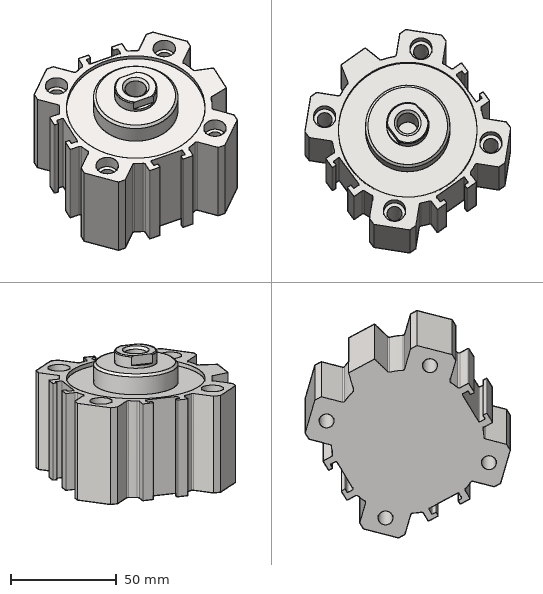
import cadquery as cq
import math


HOUSING_HEIGHT = 48.0
COLLAR_TOP = 55.95
ROD_TOP = 62.0
ROD_BOTTOM = 10.0

HALF_WIDTH = 40.0
LUG_TIP_HALF = 1.8
LUG_TIP_CENTER = 26.0
LUG_ANGLES = (0, 90, 180, 270)
BARREL_RADIUS = 36.1
WEB_FILLET = 1.0

RIB_TOP = 44.0
RIB_HALF_TOP = 7.05
RIB_HALF_FOOT = 9.4
RIB_FOOT = 34.9

RAIL_REACH = 39.65
RAIL_HALF_WIDTH = 11.4
SLOT_FLOOR = 34.2
SLOT_HALF_WIDTH = 8.15
LIP_THICKNESS = 2.2
LIP_HALF_GAP = 6.0
RAIL_FILLET = 0.3
RAIL_ANGLES = (0, 180, 270)

BOLT_OFFSET = 28.1
BOLT_DIAMETER = 7.0
COUNTERBORE_DIAMETER = 10.5
COUNTERBORE_DEPTH = 6.5

RECESS_DIAMETER = 65.5
RECESS_DEPTH = 2.0
COLLAR_DIAMETER = 40.0
COLLAR_CHAMFER = 1.2

ROD_DIAMETER = 20.0
ROD_CHAMFER = 0.5
FLAT_HALF_WIDTH = 8.5
FLAT_BOTTOM = 57.4
ROD_HOLE_DIAMETER = 10.1
ROD_HOLE_MOUTH_DIAMETER = 12.6
ROD_HOLE_DEPTH = 20.0
COUNTERSINK_ANGLE = 90

TOLERANCE = 0.01


def make_lug(angle):
    """Corner lug in the +X +Y corner, turned about Z: a 45-degree arm with flat tips."""
    tip_inner = LUG_TIP_CENTER - LUG_TIP_HALF
    tip_outer = LUG_TIP_CENTER + LUG_TIP_HALF
    flank_start = HALF_WIDTH - tip_inner
    return (
        cq.Workplane("XY")
        .moveTo(0, 0)
        .lineTo(flank_start, 0)
        .lineTo(HALF_WIDTH, tip_inner)
        .lineTo(HALF_WIDTH, tip_outer)
        .lineTo(tip_outer, HALF_WIDTH)
        .lineTo(tip_inner, HALF_WIDTH)
        .lineTo(0, flank_start)
        .close()
        .extrude(HOUSING_HEIGHT)
        .rotate((0, 0, 0), (0, 0, 1), angle)
    )


def make_rail_block(angle):
    """Block on the +X side, turned about Z, that later receives a T-slot."""
    return (
        cq.Workplane("XY")
        .rect(RAIL_REACH, 2 * RAIL_HALF_WIDTH)
        .extrude(HOUSING_HEIGHT)
        .translate((RAIL_REACH / 2, 0, 0))
        .rotate((0, 0, 0), (0, 0, 1), angle)
    )


def make_t_slot(angle):
    """Cutter for the T-slot of one rail: a wide chamber behind a narrower gap."""
    lip_inner = RAIL_REACH - LIP_THICKNESS
    chamber = (
        cq.Workplane("XY")
        .rect(lip_inner - SLOT_FLOOR, 2 * SLOT_HALF_WIDTH)
        .extrude(HOUSING_HEIGHT)
        .translate(((lip_inner + SLOT_FLOOR) / 2, 0, 0))
    )
    gap = (
        cq.Workplane("XY")
        .rect(RAIL_REACH - SLOT_FLOOR, 2 * LIP_HALF_GAP)
        .extrude(HOUSING_HEIGHT)
        .translate(((RAIL_REACH + SLOT_FLOOR) / 2, 0, 0))
    )
    return chamber.union(gap).rotate((0, 0, 0), (0, 0, 1), angle)


def make_rib():
    """Solid tapered rib on the +Y side; its sides run on inward with the same slope."""
    flare = (RIB_HALF_FOOT - RIB_HALF_TOP) / (RIB_TOP - RIB_FOOT)
    half_at_axis = RIB_HALF_TOP + flare * RIB_TOP
    return (
        cq.Workplane("XY")
        .polyline([
            (-half_at_axis, 0),
            (half_at_axis, 0),
            (RIB_HALF_TOP, RIB_TOP),
            (-RIB_HALF_TOP, RIB_TOP),
        ])
        .close()
        .extrude(HOUSING_HEIGHT)
    )


def is_web_corner(edge):
    """True for a vertical edge on the barrel surface, where a lug, rail or rib meets it."""
    center = edge.Center()
    return math.isclose(math.hypot(center.x, center.y), BARREL_RADIUS, abs_tol=TOLERANCE)


def is_rail_corner(edge):
    """True for a vertical edge of a T-slot rail, inside the slot or on its outer corners."""
    center = edge.Center()
    for angle in RAIL_ANGLES:
        turn = math.radians(angle)
        reach = center.x * math.cos(turn) + center.y * math.sin(turn)
        side = abs(center.y * math.cos(turn) - center.x * math.sin(turn))
        in_reach = SLOT_FLOOR - TOLERANCE < reach < RAIL_REACH + TOLERANCE
        on_flank_fillet = side > SLOT_HALF_WIDTH + TOLERANCE and reach < RAIL_REACH - TOLERANCE
        if in_reach and side < RAIL_HALF_WIDTH + TOLERANCE and not on_flank_fillet:
            return True
    return False


def make_housing():
    """Profiled barrel with lugs, rib, T-slots, bolt holes, recess, collar and rod bore."""
    body = cq.Workplane("XY").circle(BARREL_RADIUS).extrude(HOUSING_HEIGHT)
    for angle in LUG_ANGLES:
        body = body.union(make_lug(angle))
    for angle in RAIL_ANGLES:
        body = body.union(make_rail_block(angle))
    body = body.union(make_rib())
    body = body.edges("|Z").filter(is_web_corner).fillet(WEB_FILLET)

    for angle in RAIL_ANGLES:
        body = body.cut(make_t_slot(angle))
    body = body.edges("|Z").filter(is_rail_corner).fillet(RAIL_FILLET)

    body = (
        body.faces(">Z")
        .workplane(origin=(0, 0, HOUSING_HEIGHT))
        .rect(2 * BOLT_OFFSET, 2 * BOLT_OFFSET, forConstruction=True)
        .vertices()
        .cboreHole(BOLT_DIAMETER, COUNTERBORE_DIAMETER, COUNTERBORE_DEPTH)
    )

    recess_floor = HOUSING_HEIGHT - RECESS_DEPTH
    recess = (
        cq.Workplane("XY", origin=(0, 0, recess_floor))
        .circle(RECESS_DIAMETER / 2)
        .extrude(RECESS_DEPTH)
    )
    collar = (
        cq.Workplane("XY", origin=(0, 0, recess_floor))
        .circle(COLLAR_DIAMETER / 2)
        .extrude(COLLAR_TOP - recess_floor)
        .faces(">Z")
        .chamfer(COLLAR_CHAMFER)
    )
    rod_bore = (
        cq.Workplane("XY", origin=(0, 0, ROD_BOTTOM))
        .circle(ROD_DIAMETER / 2)
        .extrude(COLLAR_TOP - ROD_BOTTOM)
    )
    return body.cut(recess).union(collar).cut(rod_bore)


def make_rod():
    """Round rod with two wrench flats and a blind hole with a countersunk mouth."""
    rod = (
        cq.Workplane("XY", origin=(0, 0, ROD_BOTTOM))
        .circle(ROD_DIAMETER / 2)
        .extrude(ROD_TOP - ROD_BOTTOM)
        .faces(">Z")
        .chamfer(ROD_CHAMFER)
    )
    flat_height = ROD_TOP - FLAT_BOTTOM
    for side in (-1, 1):
        flat = (
            cq.Workplane("XY", origin=(side * (FLAT_HALF_WIDTH + ROD_DIAMETER / 2), 0, FLAT_BOTTOM))
            .rect(ROD_DIAMETER, ROD_DIAMETER)
            .extrude(flat_height)
        )
        rod = rod.cut(flat)

    return (
        rod.faces(">Z")
        .workplane(origin=(0, 0, ROD_TOP))
        .cskHole(ROD_HOLE_DIAMETER, ROD_HOLE_MOUTH_DIAMETER, COUNTERSINK_ANGLE, depth=ROD_HOLE_DEPTH)
    )


housing = make_housing()
rod = make_rod()

result = cq.Compound.makeCompound([housing.val(), rod.val()])